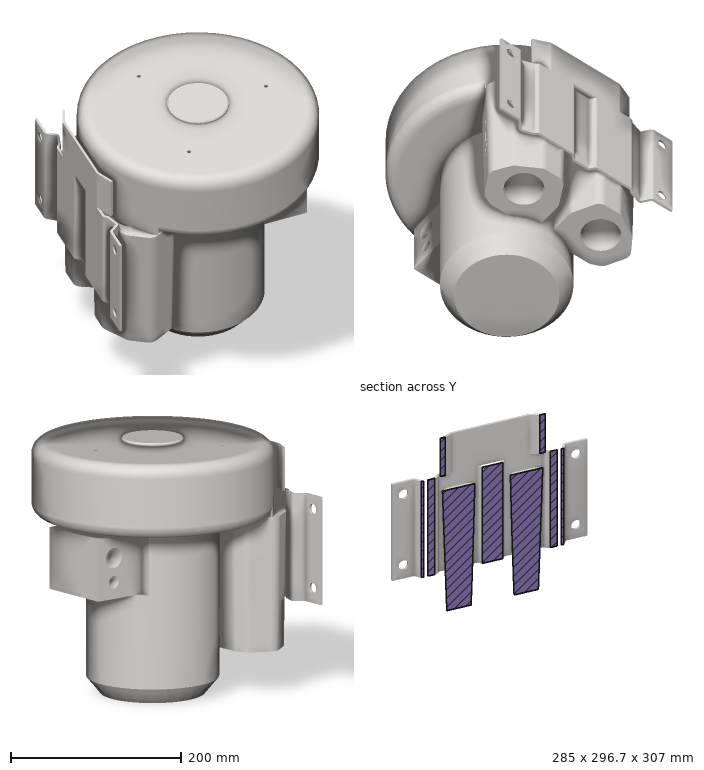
import math

import cadquery as cq


HOUSING_RADIUS = 142.5
HOUSING_BOTTOM = 214.6
HOUSING_TOP = 303.0
HOUSING_ROUND = 15.0
CAP_RADIUS = 36.4
CAP_HEIGHT = 4.0
CAP_CHAMFER = 1.5
SCREW_HOLE_DIAMETER = 5.0
SCREW_HOLE_DEPTH = 10.0
SCREW_CIRCLE_RADIUS = 87.0
SCREW_COUNT = 3

MOTOR_RADIUS = 78.5
MOTOR_END_RADIUS = 62.0
MOTOR_TAPER_HEIGHT = 20.0

BOX_HALF_WIDTH = 45.0
BOX_BACK = 120.2
BOX_FRONT = 53.3
BOX_BOTTOM = 133.2
BOX_TOP = 207.6
CABLE_ENTRY_Y = 96.6
CABLE_ENTRIES = ((24.0, 182.5), (15.0, 153.3))
CABLE_ENTRY_POINT_ANGLE = 118.0

SHEET = 3.0
OVERALL_DEPTH = 296.7
BRACKET_FRONT = HOUSING_RADIUS - OVERALL_DEPTH
WEB_FRONT = BRACKET_FRONT + SHEET
WEB_BACK = WEB_FRONT + SHEET
RIDGE_FRONT = -142.5
RIDGE_FOOT_X = 97.5
RIDGE_CREST_X = 88.5
STEP_TOP = (-73.0, -147.4)
STEP_FOOT_X = 69.5
CHANNEL_DEPTH = 6.7
CHANNEL_FRONT = WEB_FRONT + CHANNEL_DEPTH
CHANNEL_EDGE_X = 16.0
CHANNEL_FLOOR_X = 10.5
BRACKET_HALF_WIDTH = 127.2
BRACKET_BOTTOM = 104.4
BRACKET_SHOULDER = 234.2
BRACKET_TOP = 286.4
UPPER_WEB_HALF_WIDTH = 51.0
EAR_HALF_SPAN = 72.8
EAR_TIP_FRONT = -142.0
BEND_OUTER_RADIUS = 5.0
BEND_INNER_RADIUS = BEND_OUTER_RADIUS - SHEET
MOUNT_HOLE_DIAMETER = 12.5
MOUNT_HOLE_X = 112.5
MOUNT_HOLE_HEIGHTS = (122.4, 217.4)

STUB_BOTTOM = 52.0
STUB_DRAFT = 1.0
STUB_CORNER_RADIUS = 12.5
STUB_INNER_X = 6.0
STUB_BACK = -61.5
WEB_OVERLAP = 0.2
STUB_FRONT = WEB_BACK - WEB_OVERLAP
STUB_SIDE_REAR = (-90.5, -68.5)
STUB_SIDE_FRONT = (-108.5, -102.3)
STUB_SHOULDER = (-90.5, -129.5)
STUB_FRONT_OUTER_X = 57.5
STUB_FRONT_INNER_X = 25.0
STUB_BACK_OUTER_X = 74.0
STUB_INNER_FRONT = -112.0
PORT_DIAMETER = 48.0
PORT_X = 57.0
PORT_Y = -107.0
SKIRT_BACK = -95.5

ARROW_HEIGHT = 0.3
ARROW_OFFSET = 17.0
ARROW_TOP = 163.9
ARROW_NECK = 123.2
ARROW_TIP = 106.2
ARROW_SHAFT_WIDTH = 12.0
ARROW_HEAD_WIDTH = 23.5


def make_housing():
    height = HOUSING_TOP - HOUSING_BOTTOM
    drum = cq.Workplane("XY", origin=(0, 0, HOUSING_BOTTOM)).circle(HOUSING_RADIUS).extrude(height)
    drum = drum.edges().fillet(HOUSING_ROUND)

    skirt = cq.Workplane("XY", origin=(0, 0, HOUSING_BOTTOM)).circle(HOUSING_RADIUS).extrude(height / 2)
    front_half = cq.Workplane("XY").box(
        2 * HOUSING_RADIUS, HOUSING_RADIUS, HOUSING_TOP, centered=(True, False, False)
    )
    skirt = skirt.intersect(front_half.translate((0, SKIRT_BACK - HOUSING_RADIUS, 0)))

    cap = cq.Workplane("XY", origin=(0, 0, HOUSING_TOP)).circle(CAP_RADIUS).extrude(CAP_HEIGHT)
    cap = cap.faces(">Z").edges().chamfer(CAP_CHAMFER)

    screw_holes = (
        cq.Workplane("XY", origin=(0, 0, HOUSING_TOP))
        .polarArray(SCREW_CIRCLE_RADIUS, 90, 360, SCREW_COUNT)
        .circle(SCREW_HOLE_DIAMETER / 2)
        .extrude(-SCREW_HOLE_DEPTH)
    )
    return drum.union(skirt).union(cap).cut(screw_holes)


def make_motor():
    half_profile = [
        (0, 0),
        (MOTOR_END_RADIUS, 0),
        (MOTOR_RADIUS, MOTOR_TAPER_HEIGHT),
        (MOTOR_RADIUS, HOUSING_BOTTOM),
        (0, HOUSING_BOTTOM),
    ]
    motor = cq.Workplane("XZ").polyline(half_profile).close().revolve(360, (0, 0), (0, 1))
    clearance = cq.Workplane("XY").box(
        MOTOR_RADIUS, BOX_BACK - BOX_FRONT, BOX_TOP - BOX_BOTTOM, centered=False
    )
    return motor.cut(clearance.translate((-BOX_HALF_WIDTH - MOTOR_RADIUS, BOX_FRONT, BOX_BOTTOM)))


def make_terminal_box():
    box = cq.Workplane("XY").box(
        2 * BOX_HALF_WIDTH, BOX_BACK - BOX_FRONT, BOX_TOP - BOX_BOTTOM, centered=(True, False, False)
    )
    box = box.translate((0, BOX_FRONT, BOX_BOTTOM))
    for diameter, height in CABLE_ENTRIES:
        depth = diameter / 2 / math.tan(math.radians(CABLE_ENTRY_POINT_ANGLE / 2))
        cone = cq.Solid.makeCone(
            diameter / 2,
            0,
            depth,
            pnt=cq.Vector(-BOX_HALF_WIDTH, CABLE_ENTRY_Y, height),
            dir=cq.Vector(1, 0, 0),
        )
        box = box.cut(cq.Workplane(cone))
    return box


def offset_path(path, distance):
    """Shift an open path sideways, to its left when positive, with mitred corners."""
    headings = [math.atan2(b[1] - a[1], b[0] - a[0]) for a, b in zip(path, path[1:])]
    before = headings[:1] + headings
    after = headings + headings[-1:]
    shifted = []
    for (x, y), heading_in, heading_out in zip(path, before, after):
        miter = (heading_in + heading_out) / 2
        reach = distance / math.cos((heading_out - heading_in) / 2)
        shifted.append((x - reach * math.sin(miter), y + reach * math.cos(miter)))
    return shifted


def mirrored_path(left_half):
    return left_half + [(-x, y) for x, y in reversed(left_half)]


def bent_sheet(front_path, bottom, top):
    """Sheet strip whose front face follows a path running toward +X."""
    back_path = offset_path(front_path, SHEET)
    outline = front_path + back_path[::-1]
    return cq.Workplane("XY", origin=(0, 0, bottom)).polyline(outline).close().extrude(top - bottom)


def round_bend(sheet, front_path, index, bottom, outer_on_front):
    """Round both faces of the sheet at one bend of its path."""
    back_path = offset_path(front_path, SHEET)
    radii = (BEND_OUTER_RADIUS, BEND_INNER_RADIUS)
    if not outer_on_front:
        radii = radii[::-1]
    for path, radius in zip((front_path, back_path), radii):
        corner = (*path[index], bottom)
        sheet = sheet.edges("|Z").edges(cq.selectors.NearestToPointSelector(corner)).fillet(radius)
    return sheet


def make_bracket():
    lower_path = mirrored_path([
        (-BRACKET_HALF_WIDTH, BRACKET_FRONT),
        (-RIDGE_FOOT_X, BRACKET_FRONT),
        (-RIDGE_CREST_X, RIDGE_FRONT),
        STEP_TOP,
        (-STEP_FOOT_X, WEB_FRONT),
        (-CHANNEL_EDGE_X, WEB_FRONT),
        (-CHANNEL_FLOOR_X, CHANNEL_FRONT),
    ])
    lower = bent_sheet(lower_path, BRACKET_BOTTOM, BRACKET_SHOULDER)
    left_bends = ((1, True), (2, False), (4, True), (5, True), (6, False))
    for index, outer_on_front in left_bends:
        for bend in (index, len(lower_path) - 1 - index):
            lower = round_bend(lower, lower_path, bend, BRACKET_BOTTOM + SHEET, outer_on_front)

    upper_path = mirrored_path([
        (-EAR_HALF_SPAN, EAR_TIP_FRONT),
        (-UPPER_WEB_HALF_WIDTH, WEB_FRONT),
    ])
    upper = bent_sheet(upper_path, BRACKET_SHOULDER, BRACKET_TOP)
    for bend in (1, 2):
        upper = round_bend(upper, upper_path, bend, BRACKET_SHOULDER + SHEET, True)

    mount_points = [(sign * MOUNT_HOLE_X, z) for sign in (-1, 1) for z in MOUNT_HOLE_HEIGHTS]
    mount_holes = (
        cq.Workplane("XZ", origin=(0, BRACKET_FRONT, 0))
        .pushPoints(mount_points)
        .circle(MOUNT_HOLE_DIAMETER / 2)
        .extrude(2 * SHEET, both=True)
    )
    return lower.union(upper).cut(mount_holes)


def make_stub():
    """Stub on the -X side, narrowing toward its lower end, bored by the port."""
    outline = [
        (-STUB_INNER_X, STUB_BACK),
        (-STUB_BACK_OUTER_X, STUB_BACK),
        STUB_SIDE_REAR,
        STUB_SIDE_FRONT,
        STUB_SHOULDER,
        (-STUB_FRONT_OUTER_X, STUB_FRONT),
        (-STUB_FRONT_INNER_X, STUB_FRONT),
        (-STUB_INNER_X, STUB_INNER_FRONT),
    ]
    top_plane = cq.Plane(origin=(0, 0, HOUSING_BOTTOM), xDir=(1, 0, 0), normal=(0, 0, -1))
    flipped_outline = [(x, -y) for x, y in outline]
    stub = (
        cq.Workplane(top_plane)
        .polyline(flipped_outline)
        .close()
        .extrude(HOUSING_BOTTOM - STUB_BOTTOM, taper=STUB_DRAFT)
    )
    stub = stub.edges("not #Z").fillet(STUB_CORNER_RADIUS)
    port = (
        cq.Workplane("XY", origin=(-PORT_X, PORT_Y, STUB_BOTTOM))
        .circle(PORT_DIAMETER / 2)
        .extrude(HOUSING_BOTTOM - STUB_BOTTOM)
    )
    return stub.cut(port)


def make_arrow():
    """Raised arrow pointing down, lying parallel to the drafted side flat."""
    along_x = STUB_SIDE_FRONT[0] - STUB_SIDE_REAR[0]
    along_y = STUB_SIDE_FRONT[1] - STUB_SIDE_REAR[1]
    draft_slope = math.tan(math.radians(STUB_DRAFT))
    flat_length = math.hypot(along_x, along_y)
    flat_plane = cq.Plane(
        origin=(
            STUB_SIDE_REAR[0] + along_x * ARROW_OFFSET / flat_length,
            STUB_SIDE_REAR[1] + along_y * ARROW_OFFSET / flat_length,
            HOUSING_BOTTOM,
        ),
        xDir=(along_x, along_y, 0),
        normal=(along_y, -along_x, -draft_slope * flat_length),
    )
    shaft = ARROW_SHAFT_WIDTH / 2
    head = ARROW_HEAD_WIDTH / 2
    top = ARROW_TOP - HOUSING_BOTTOM
    neck = ARROW_NECK - HOUSING_BOTTOM
    tip = ARROW_TIP - HOUSING_BOTTOM
    outline = [
        (-shaft, top),
        (shaft, top),
        (shaft, neck),
        (head, neck),
        (0, tip),
        (-head, neck),
        (-shaft, neck),
    ]
    return cq.Workplane(flat_plane).polyline(outline).close().extrude(ARROW_HEIGHT, both=True)


left_stub = make_stub()
right_stub = left_stub.mirror("YZ")

result = (
    make_housing()
    .union(make_motor())
    .union(make_terminal_box())
    .union(left_stub)
    .union(right_stub)
    .union(make_arrow())
    .union(make_bracket())
)